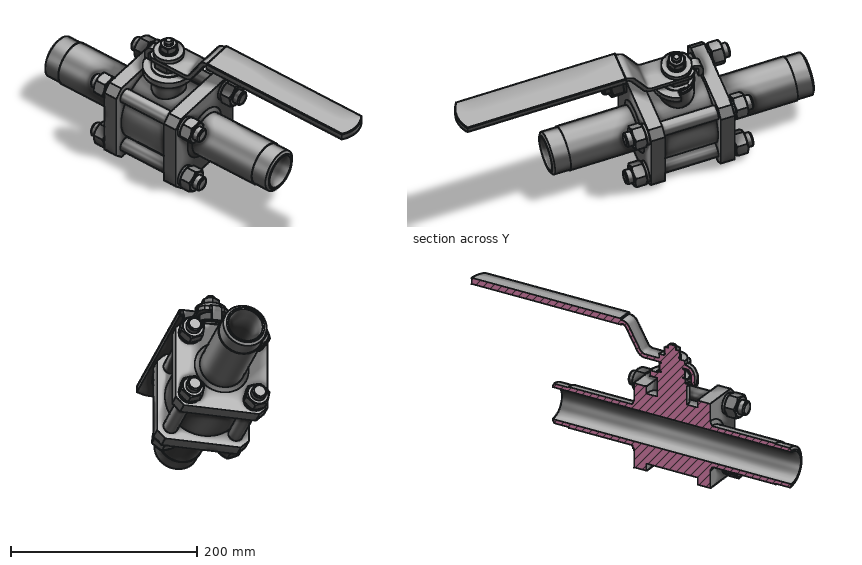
import math

import cadquery as cq


bore_radius = 19.0
pipe_half_length = 150.0
pipe_radius = 25.0
weld_end_radius = 24.15
weld_end_length = 20.0
weld_bevel_length = 2.0
weld_land_radius = 21.0
body_half_length = 32.0
body_radius = 42.5
flange_size = 102.0
flange_thickness = 16.0
flange_corner_chamfer = 9.0
flange_outer_x = body_half_length + flange_thickness
collar_radius = 30.0
collar_length = 2.5

bolt_offset = 36.0
bolt_radius = 8.0
bolt_half_length = 72.7
bolt_chamfer = 1.5
bolt_washer_radius = 12.0
bolt_washer_thickness = 3.0
bolt_nut_flats = 24.0
bolt_nut_height = 14.0
nut_turns = [
    (-1, 1, -9.0, -4.0),
    (-1, -1, 19.0, 26.0),
    (1, 1, 23.0, 23.0),
    (1, -1, 19.0, 23.0),
]

nut_face_ratio = 0.95
nut_turning_angle = 30.0

plate_width = 33.0
plate_thickness = 5.0
plate_top_z = 89.5
plate_bottom_z = plate_top_z - plate_thickness
plate_end_radius = 20.0
plate_end_flat_x = -16.8
bend_radius = 7.0
bend_angle = 60.0
overall_height = 175.5
grip_top_z = overall_height - flange_size / 2
grip_wall = 1.5
grip_width = plate_width + 2 * grip_wall
grip_height = plate_thickness + 2 * grip_wall
grip_start_x = 64.0
grip_end_x = 252.14
grip_end_rise = 6.0
grip_edge_chamfer = 0.8
lever_top_z = grip_top_z - grip_wall

tab_width = 10.5
tab_outer_x = -28.5
tab_bottom_z = 67.4
tab_bend_radius = plate_end_flat_x - tab_outer_x - plate_thickness

housing_radius = 18.9
stop_disc_bottom_z = 64.4
stop_disc_top_z = 71.7
stop_disc_radius = 28.0
stop_gap_margin = 5.0
stop_gap_fillet = 3.0
stop_lower_hub_radius = 19.4
stop_upper_hub_radius = 17.0
gland_washer_radius = 19.0
gland_washer_thickness = 1.3
gland_nut_flats = 28.0
gland_nut_bottom_z = stop_disc_top_z + gland_washer_thickness
lever_washer_radius = 16.5
lever_washer_top_z = 94.5
lock_washer_radius = 10.0
lock_washer_top_z = 96.0
stem_nut_flats = 17.0
stem_nut_top_z = 104.7
stem_radius = 5.0
stem_top_z = 109.5
stem_chamfer = 1.8


def post(radius, bottom, top):
    """Upright cylinder on the stem axis."""
    return cq.Workplane("XY").workplane(offset=bottom).circle(radius).extrude(top - bottom)


def hex_nut(flats, height):
    """Upright nut from Z = 0, a corner on the X axis, corners turned down at both ends."""
    corner_radius = flats / math.sqrt(3)
    turned_depth = corner_radius - nut_face_ratio * flats / 2
    turned_length = turned_depth * math.tan(math.radians(nut_turning_angle))
    blank = cq.Workplane("XY").polygon(6, 2 * corner_radius).extrude(height)
    turned = (
        cq.Workplane("XY")
        .circle(corner_radius)
        .extrude(height)
        .edges()
        .chamfer(turned_length, turned_depth)
    )
    return blank.intersect(turned)


def pipe_and_body():
    """Pipe, welding ends, collars and body turned about X, before boring."""
    step_x = pipe_half_length - weld_end_length
    right_side = [
        (body_half_length, body_radius),
        (body_half_length, collar_radius),
        (flange_outer_x, collar_radius),
        (flange_outer_x + collar_length, pipe_radius),
        (step_x, pipe_radius),
        (step_x, weld_end_radius),
        (pipe_half_length - weld_bevel_length, weld_end_radius),
        (pipe_half_length, weld_land_radius),
        (pipe_half_length, 0),
    ]
    left_side = [(-x, radius) for x, radius in reversed(right_side)]
    profile = cq.Workplane("XY").polyline(left_side + right_side).close()
    return profile.revolve(360, (0, 0, 0), (1, 0, 0))


def flange(side):
    """Square end flange with cut corners."""
    centre_x = side * (body_half_length + flange_thickness / 2)
    return (
        cq.Workplane("XY")
        .box(flange_thickness, flange_size, flange_size)
        .edges("|X")
        .chamfer(flange_corner_chamfer)
        .translate((centre_x, 0, 0))
    )


def bolt_end(turn):
    """Washer and nut at the +X flange, on the X axis, with the nut turned by the given angle."""
    washer = cq.Workplane("XY").circle(bolt_washer_radius).extrude(bolt_washer_thickness)
    nut = hex_nut(bolt_nut_flats, bolt_nut_height).translate((0, 0, bolt_washer_thickness))
    stack = washer.union(nut).rotate((0, 0, 0), (0, 1, 0), 90)
    return stack.rotate((0, 0, 0), (1, 0, 0), -90 - turn).translate((flange_outer_x, 0, 0))


def bolt(y_side, z_side, left_turn, right_turn):
    """Stud with a washer and nut at each end."""
    rod = (
        cq.Workplane("YZ")
        .circle(bolt_radius)
        .extrude(bolt_half_length, both=True)
        .faces("<X or >X")
        .chamfer(bolt_chamfer)
    )
    assembly = rod.union(bolt_end(right_turn)).union(bolt_end(left_turn).mirror("YZ"))
    return assembly.translate((0, y_side * bolt_offset, z_side * bolt_offset))


def stop_gap(hub_radius, bottom, top):
    """Corner cutter for the stop disc, leaving a round hub and rounded into it at both walls."""
    size = 2 * stop_disc_radius
    wall_reach = math.sqrt(hub_radius**2 - stop_gap_margin**2)
    middle_z = (bottom + top) / 2
    return (
        cq.Workplane("XY")
        .workplane(offset=bottom)
        .moveTo(stop_gap_margin - size / 2, size / 2 - stop_gap_margin)
        .rect(size, size)
        .extrude(top - bottom)
        .cut(post(hub_radius, bottom, top))
        .edges(
            cq.NearestToPointSelector((stop_gap_margin, wall_reach, middle_z))
            + cq.NearestToPointSelector((-wall_reach, -stop_gap_margin, middle_z))
        )
        .fillet(stop_gap_fillet)
    )


def stop_disc():
    """Disc on the housing, with a stepped quarter removed for the travel of the stop tab."""
    return (
        post(stop_disc_radius, stop_disc_bottom_z, stop_disc_top_z)
        .cut(stop_gap(stop_lower_hub_radius, stop_disc_bottom_z, tab_bottom_z))
        .cut(stop_gap(stop_upper_hub_radius, tab_bottom_z, stop_disc_top_z))
    )


def stem_stack():
    """Housing, stop disc, gland nut, washers, stem nut and stem tip, from the bottom up."""
    gland_nut = hex_nut(gland_nut_flats, plate_bottom_z - gland_nut_bottom_z)
    stem_nut = hex_nut(stem_nut_flats, stem_nut_top_z - lock_washer_top_z)
    tip = post(stem_radius, lock_washer_top_z, stem_top_z).faces(">Z").chamfer(stem_chamfer)
    return (
        post(housing_radius, bore_radius, stop_disc_bottom_z)
        .union(stop_disc())
        .union(post(gland_washer_radius, stop_disc_top_z, gland_nut_bottom_z))
        .union(gland_nut.translate((0, 0, gland_nut_bottom_z)))
        .union(post(lever_washer_radius, plate_top_z, lever_washer_top_z))
        .union(post(lock_washer_radius, lever_washer_top_z, lock_washer_top_z))
        .union(stem_nut.translate((0, 0, lock_washer_top_z)))
        .union(tip)
    )


def arc_point(centre, radius, degrees):
    """Point on a circle in the XZ plane, with the angle measured from +X towards +Z."""
    angle = math.radians(degrees)
    return (centre[0] + radius * math.cos(angle), centre[1] + radius * math.sin(angle))


def lever_plate():
    """Flat plate over the stem, cranked upwards to the level of the grip."""
    outer_radius = bend_radius + plate_thickness
    angle = math.radians(bend_angle)
    radius_sum = bend_radius + outer_radius
    slope_rise = lever_top_z - plate_top_z - radius_sum * (1 - math.cos(angle))
    crank_run = radius_sum * math.sin(angle) + slope_rise / math.tan(angle)
    lower_centre = (grip_start_x - crank_run, plate_top_z + bend_radius)
    upper_centre = (grip_start_x, lever_top_z - outer_radius)
    low_mid = -90 + bend_angle / 2
    low_end = -90 + bend_angle
    high_mid = 90 + bend_angle / 2
    high_end = 90 + bend_angle
    grip_inner_x = grip_end_x - grip_end_rise - grip_wall
    outline = (
        cq.Workplane("XZ")
        .moveTo(plate_end_flat_x, plate_top_z)
        .lineTo(lower_centre[0], plate_top_z)
        .threePointArc(
            arc_point(lower_centre, bend_radius, low_mid),
            arc_point(lower_centre, bend_radius, low_end),
        )
        .lineTo(*arc_point(upper_centre, outer_radius, high_end))
        .threePointArc(
            arc_point(upper_centre, outer_radius, high_mid),
            arc_point(upper_centre, outer_radius, 90),
        )
        .lineTo(grip_inner_x, lever_top_z)
        .lineTo(grip_inner_x, lever_top_z - plate_thickness)
        .lineTo(grip_start_x, lever_top_z - plate_thickness)
        .threePointArc(
            arc_point(upper_centre, bend_radius, high_mid),
            arc_point(upper_centre, bend_radius, high_end),
        )
        .lineTo(*arc_point(lower_centre, outer_radius, low_end))
        .threePointArc(
            arc_point(lower_centre, outer_radius, low_mid),
            arc_point(lower_centre, outer_radius, -90),
        )
        .lineTo(plate_end_flat_x, plate_bottom_z)
        .close()
    )
    plate = outline.extrude(plate_width / 2, both=True)
    end_disc = post(plate_end_radius, plate_bottom_z, lever_top_z)
    beyond_stem = cq.Workplane("XY").box(
        grip_end_x, grip_width, lever_top_z, centered=(False, True, False)
    )
    return plate.intersect(end_disc.union(beyond_stem))


def stop_tab():
    """Narrow tongue bent down from the end of the lever plate."""
    outer_radius = tab_bend_radius + plate_thickness
    centre = (tab_outer_x + outer_radius, plate_top_z - outer_radius)
    outline = (
        cq.Workplane("XZ")
        .moveTo(0, plate_top_z)
        .lineTo(centre[0], plate_top_z)
        .threePointArc(arc_point(centre, outer_radius, 135), arc_point(centre, outer_radius, 180))
        .lineTo(tab_outer_x, tab_bottom_z)
        .lineTo(tab_outer_x + plate_thickness, tab_bottom_z)
        .lineTo(*arc_point(centre, tab_bend_radius, 180))
        .threePointArc(arc_point(centre, tab_bend_radius, 135), arc_point(centre, tab_bend_radius, 90))
        .lineTo(0, plate_bottom_z)
        .close()
    )
    return outline.extrude(tab_width / 2, both=True)


def grip():
    """Sleeve around the raised end of the lever, with a bowed outer end."""
    half_width = grip_width / 2
    corner_x = grip_end_x - grip_end_rise
    return (
        cq.Workplane("XY")
        .workplane(offset=grip_top_z - grip_height)
        .moveTo(grip_start_x, -half_width)
        .lineTo(corner_x, -half_width)
        .threePointArc((grip_end_x, 0), (corner_x, half_width))
        .lineTo(grip_start_x, half_width)
        .close()
        .extrude(grip_height)
        .faces(">Z")
        .edges()
        .chamfer(grip_edge_chamfer)
    )


valve = pipe_and_body().union(flange(-1)).union(flange(1)).union(stem_stack())
for placement in nut_turns:
    valve = valve.union(bolt(*placement))
valve = valve.union(lever_plate()).union(stop_tab()).union(grip())

bore = cq.Workplane("YZ").circle(bore_radius).extrude(pipe_half_length, both=True)
result = valve.cut(bore)